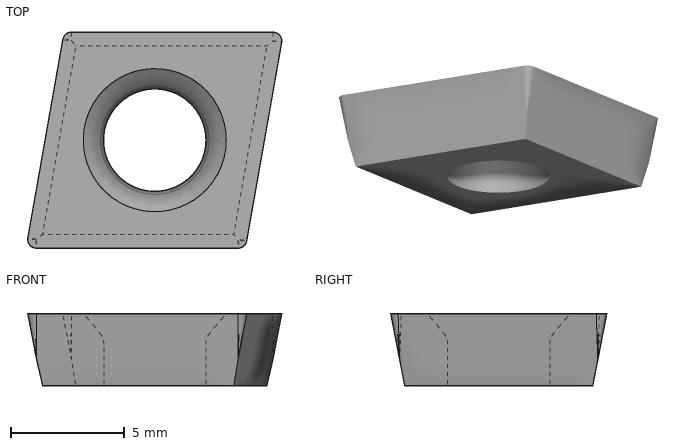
import math

import cadquery as cq

INSCRIBED_DIAMETER = 9.525
THICKNESS = 3.18
CORNER_ANGLE = math.radians(80)
CLEARANCE_ANGLE = math.radians(11)
NOSE_RADIUS = 0.4

BORE_RADIUS = 2.25
COUNTERSINK_RADIUS = 3.15
COUNTERSINK_HALF_ANGLE = math.radians(40)
BLEND_RADIUS = 0.6

INSCRIBED_RADIUS = INSCRIBED_DIAMETER / 2
CLEARANCE_SLOPE = math.tan(CLEARANCE_ANGLE)
NOSE_DEPTH = NOSE_RADIUS / CLEARANCE_SLOPE


def rhombus_corners(inradius):
    """Corners, counter-clockwise from lower left, of the rhombus around a circle."""
    half_side = inradius / math.sin(CORNER_ANGLE)
    lean = inradius / math.tan(CORNER_ANGLE)
    return [
        (-half_side - lean, -inradius),
        (half_side - lean, -inradius),
        (half_side + lean, inradius),
        (-half_side + lean, inradius),
    ]


def make_sharp_body():
    """Frustum whose four flanks all lean inward by the clearance angle."""
    return (
        cq.Workplane("XY", origin=(0, 0, THICKNESS))
        .polyline(rhombus_corners(INSCRIBED_RADIUS))
        .close()
        .extrude(-THICKNESS, taper=math.degrees(CLEARANCE_ANGLE))
    )


def point_towards(start, end, distance):
    """Point at a distance from start on the line to end."""
    fraction = distance / math.dist(start, end)
    return (
        start[0] + fraction * (end[0] - start[0]),
        start[1] + fraction * (end[1] - start[1]),
    )


def round_nose(body, corner, previous_corner, next_corner, nose_center):
    """Replace the sharp upper part of one corner by a sector of a cone standing on its apex."""
    tangent_length = math.sqrt(math.dist(corner, nose_center) ** 2 - NOSE_RADIUS**2)
    first_tangent = point_towards(corner, previous_corner, tangent_length)
    last_tangent = point_towards(corner, next_corner, tangent_length)
    wedge = (
        cq.Workplane("XY", origin=(0, 0, THICKNESS - NOSE_DEPTH))
        .polyline([nose_center, first_tangent, corner, last_tangent])
        .close()
        .extrude(NOSE_DEPTH)
    )
    sector_angle = 2 * math.degrees(math.atan(tangent_length / NOSE_RADIUS))
    sector_start = cq.Plane(
        origin=(*nose_center, THICKNESS),
        xDir=(first_tangent[0] - nose_center[0], first_tangent[1] - nose_center[1], 0),
        normal=(first_tangent[1] - nose_center[1], nose_center[0] - first_tangent[0], 0),
    )
    cone_sector = (
        cq.Workplane(sector_start)
        .lineTo(NOSE_RADIUS, 0)
        .lineTo(0, -NOSE_DEPTH)
        .close()
        .revolve(sector_angle, (0, 0, 0), (0, 1, 0))
    )
    return body.cut(wedge).union(cone_sector)


def round_all_noses(body):
    corners = rhombus_corners(INSCRIBED_RADIUS)
    nose_centers = rhombus_corners(INSCRIBED_RADIUS - NOSE_RADIUS)
    for index, corner in enumerate(corners):
        next_corner = corners[(index + 1) % len(corners)]
        body = round_nose(body, corner, corners[index - 1], next_corner, nose_centers[index])
    return body


def make_hole_cutter():
    """Revolved profile of the bore, its blend and the countersink."""
    blend_center_radius = BORE_RADIUS + BLEND_RADIUS
    blend_top_radius = blend_center_radius - BLEND_RADIUS * math.cos(COUNTERSINK_HALF_ANGLE)
    blend_mid_radius = blend_center_radius - BLEND_RADIUS * math.cos(COUNTERSINK_HALF_ANGLE / 2)
    cone_depth = (COUNTERSINK_RADIUS - blend_top_radius) / math.tan(COUNTERSINK_HALF_ANGLE)
    blend_top_z = THICKNESS - cone_depth
    blend_bottom_z = blend_top_z - BLEND_RADIUS * math.sin(COUNTERSINK_HALF_ANGLE)
    blend_mid_z = blend_bottom_z + BLEND_RADIUS * math.sin(COUNTERSINK_HALF_ANGLE / 2)
    return (
        cq.Workplane("XZ")
        .lineTo(BORE_RADIUS, 0)
        .lineTo(BORE_RADIUS, blend_bottom_z)
        .threePointArc((blend_mid_radius, blend_mid_z), (blend_top_radius, blend_top_z))
        .lineTo(COUNTERSINK_RADIUS, THICKNESS)
        .lineTo(0, THICKNESS)
        .close()
        .revolve(360, (0, 0, 0), (0, 1, 0))
    )


result = round_all_noses(make_sharp_body()).cut(make_hole_cutter())